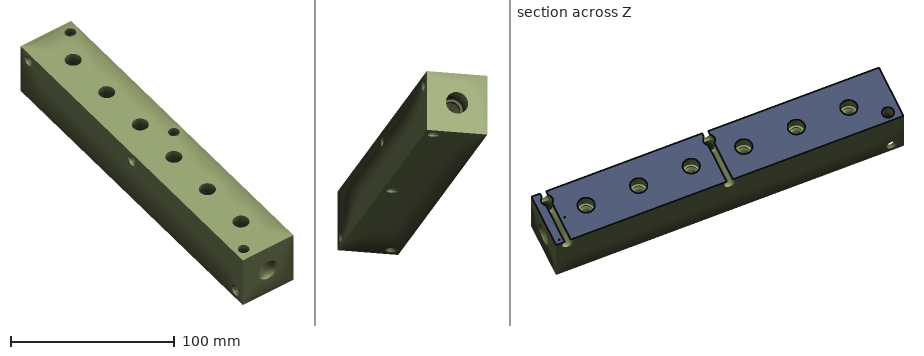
import cadquery as cq
import math

length = 231.8
side = 38.0

station_count = 6
station_pitch = 35.0
station_thread_diameter = 10.5
station_thread_depth = 10.0
station_drill_diameter = 8.3
station_drill_depth = 11.1

end_thread_diameter = 14.0
end_thread_depth = 14.0
end_drill_diameter = 10.7
end_drill_depth = 16.2

drill_tip_angle = 118.0

mount_diameter = 7.2
mount_end_margin = 7.9
mount_edge_margin = 6.3
mount_x = length / 2 - mount_end_margin
mount_offset = side / 2 - mount_edge_margin
mount_points = [(-mount_x, mount_offset), (0, mount_offset), (mount_x, -mount_offset)]


def port_cutter(thread_diameter, thread_depth, drill_diameter, drill_depth):
    """Solid of one port, opening at the origin and running down along -Z."""
    thread_radius = thread_diameter / 2
    drill_radius = drill_diameter / 2
    tip_height = drill_radius / math.tan(math.radians(drill_tip_angle / 2))
    profile = (
        cq.Workplane("XZ")
        .lineTo(thread_radius, 0)
        .lineTo(thread_radius, -thread_depth)
        .lineTo(drill_radius, -thread_depth)
        .lineTo(drill_radius, -drill_depth)
        .lineTo(0, -drill_depth - tip_height)
        .close()
    )
    return profile.revolve(360, (0, 0, 0), (0, 1, 0))


def mount_cutter(plane):
    """Three mounting holes running through the bar, normal to the given plane."""
    holes = cq.Workplane(plane).pushPoints(mount_points)
    return holes.circle(mount_diameter / 2).extrude(side, both=True)


result = cq.Workplane("XY").box(length, side, side)

for plane in ("XY", "XZ"):
    result = result.cut(mount_cutter(plane))

station_port = port_cutter(
    station_thread_diameter, station_thread_depth, station_drill_diameter, station_drill_depth
)
for station in range(station_count):
    station_x = (station - (station_count - 1) / 2) * station_pitch
    result = result.cut(station_port.translate((station_x, 0, side / 2)))

end_port = port_cutter(end_thread_diameter, end_thread_depth, end_drill_diameter, end_drill_depth)
for direction in (-1, 1):
    turned_port = end_port.rotate((0, 0, 0), (0, 1, 0), direction * 90)
    result = result.cut(turned_port.translate((direction * length / 2, 0, 0)))